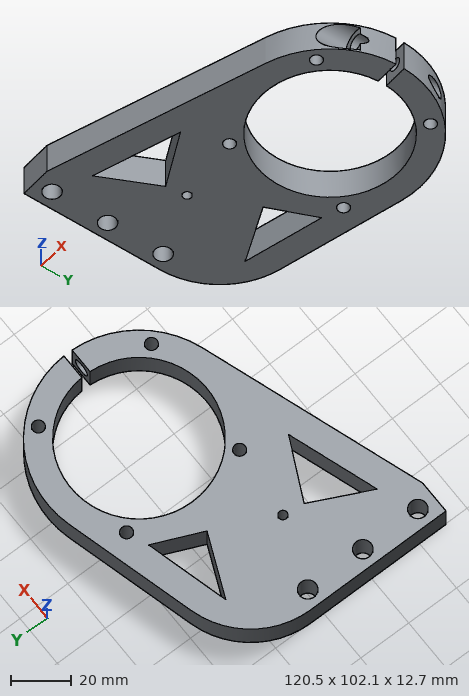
import cadquery as cq
import math

THICKNESS = 12.7
FOOT_LENGTH = 12.5
LENGTH = 120.5
WIDTH = 102.1

RING_RADIUS = 38.1
BORE_RADIUS = 28.5
SLOT_WIDTH = 3.4
ring_x = LENGTH - RING_RADIUS
ring_y = WIDTH - RING_RADIUS

CORNER_RADIUS = 32.3
CORNER_Y = 56.5

BOLT_SPACING = 47.3
BOLT_DIAMETER = 4.6
MOUNT_X = 6.3
MOUNT_FIRST_Y = 6.9
MOUNT_PITCH = 23.0
MOUNT_COUNT = 3
MOUNT_DIAMETER = 6.8
PIN_POSITION = (32.0, 43.3)
PIN_DIAMETER = 3.4

UPPER_WINDOW = [(20.0, 76.4), (50.9, 84.6), (42.9, 66.4)]
LOWER_WINDOW = [(30.9, 35.2), (53.2, 24.3), (20.0, 13.1)]

SCREW_X = 115.5
SCREW_SEAT_Y = 49.7
SCREW_HEAD_RADIUS = 5.8
SCREW_CLEARANCE_RADIUS = 3.3
SCREW_THREAD_RADIUS = 2.5


def on_circle(center_x, center_y, radius, angle):
    return (center_x + radius * math.cos(angle), center_y + radius * math.sin(angle))


def plate():
    dx = ring_x - CORNER_RADIUS
    dy = ring_y - CORNER_Y
    upper_angle = (
        math.atan2(dy, dx) + math.acos((CORNER_RADIUS - RING_RADIUS) / math.hypot(dx, dy))
    )
    foot_dx = FOOT_LENGTH - ring_x
    foot_angle = math.atan2(-ring_y, foot_dx)
    lower_angle = foot_angle + math.acos(RING_RADIUS / math.hypot(foot_dx, ring_y))
    corner_middle_angle = (upper_angle + math.pi) / 2
    return (
        cq.Workplane("XY")
        .moveTo(0, 0)
        .lineTo(FOOT_LENGTH, 0)
        .lineTo(*on_circle(ring_x, ring_y, RING_RADIUS, lower_angle))
        .threePointArc((LENGTH, ring_y), on_circle(ring_x, ring_y, RING_RADIUS, upper_angle))
        .lineTo(*on_circle(CORNER_RADIUS, CORNER_Y, CORNER_RADIUS, upper_angle))
        .threePointArc(
            on_circle(CORNER_RADIUS, CORNER_Y, CORNER_RADIUS, corner_middle_angle),
            (0, CORNER_Y),
        )
        .close()
        .extrude(THICKNESS)
    )


def vertical_holes(points, diameter):
    return cq.Workplane("XY").pushPoints(points).circle(diameter / 2).extrude(THICKNESS)


def window(corners):
    return cq.Workplane("XY").polyline(corners).close().extrude(THICKNESS)


def slot():
    return (
        cq.Workplane("XY")
        .center(ring_x + RING_RADIUS / 2, ring_y)
        .rect(RING_RADIUS, SLOT_WIDTH)
        .extrude(THICKNESS)
    )


def screw_bore(radius, start_y, end_y):
    start = cq.Vector(SCREW_X, start_y, THICKNESS / 2)
    return cq.Solid.makeCylinder(radius, end_y - start_y, start, cq.Vector(0, 1, 0))


half_bolt = BOLT_SPACING / 2
bolt_points = [
    (ring_x + side_x * half_bolt, ring_y + side_y * half_bolt)
    for side_x in (-1, 1)
    for side_y in (-1, 1)
]
mount_points = [(MOUNT_X, MOUNT_FIRST_Y + i * MOUNT_PITCH) for i in range(MOUNT_COUNT)]

result = (
    plate()
    .cut(vertical_holes([(ring_x, ring_y)], 2 * BORE_RADIUS))
    .cut(slot())
    .cut(vertical_holes(bolt_points, BOLT_DIAMETER))
    .cut(vertical_holes(mount_points, MOUNT_DIAMETER))
    .cut(vertical_holes([PIN_POSITION], PIN_DIAMETER))
    .cut(window(UPPER_WINDOW))
    .cut(window(LOWER_WINDOW))
    .cut(screw_bore(SCREW_HEAD_RADIUS, 0, SCREW_SEAT_Y))
    .cut(screw_bore(SCREW_CLEARANCE_RADIUS, 0, ring_y))
    .cut(screw_bore(SCREW_THREAD_RADIUS, ring_y, WIDTH))
)